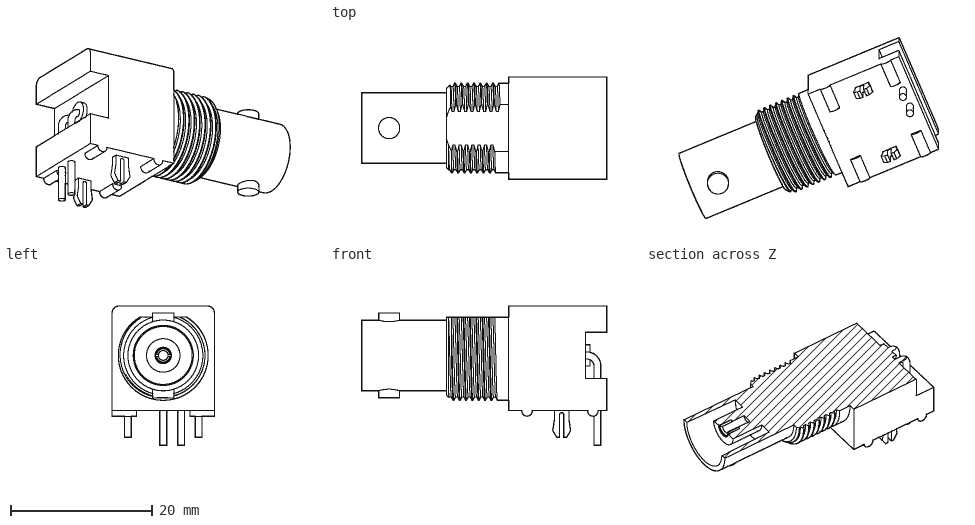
import cadquery as cq


body_front = 20.8
body_back = 34.7
body_width = 14.5
body_top = 7.0
body_bottom = -7.8
body_corner_radius = 1.0
slot_face = 31.67
slot_half_height = 3.25

barrel_radius = 5.0
barrel_end = 12.0
lug_center = 3.9
lug_radius = 1.5
lug_reach = 6.0

thread_radius = 6.35
thread_pitch = 0.895
thread_depth = 0.45
groove_root_width = thread_pitch / 3
groove_top_width = thread_pitch * 7 / 8
groove_overlap = 0.1
groove_start = 11.65
groove_turns = 8.5
neck_chamfer = 0.75
neck_flat_height = 5.4

bore_mouth_radius = 4.25
bore_floor_radius = 4.1
bore_depth = 8.3
insulator_radius = 2.37
insulator_front = 3.3
insulator_mouth_radius = 1.16
contact_radius = 1.08
contact_recess = 0.1
contact_lead_radius = 0.95
contact_hole_radius = 0.69
contact_lead_depth = contact_lead_radius - contact_hole_radius
contact_hole_depth = 4.0
contact_slit_width = 0.25
contact_slit_depth = 2.0

pin_radius = 0.5
pin_bend_radius = 1.5
pin_x = 33.35
pin_bottom = -12.7
pin_spacing = 2.54
pin_embed = 0.5
collar_radius = 1.53
collar_end = 32.3

foot_radius = 0.75
foot_drop = 0.8
foot_length = 3.5
foot_positions = (23.4, 32.7)

clip_x = 28.3
clip_y = 5.0
clip_thickness = 1.0
clip_half_width = 1.04
clip_barb_half_width = 1.24
clip_bulge_half_width = 1.27
clip_lower_half_width = 1.2
clip_tip_half_width = 0.7
clip_barb_start = -9.08
clip_barb_top = -10.34
clip_barb_bottom = -10.76
clip_tip = -11.6
clip_slit_half_width = 0.28
clip_slit_top = -8.1


def x_cylinder(radius, x_start, x_end):
    """Cylinder on the connector axis between two X positions."""
    return cq.Workplane("YZ").workplane(offset=x_start).circle(radius).extrude(x_end - x_start)


def x_cone(radius_start, radius_end, x_start, x_end):
    """Truncated cone on the connector axis between two X positions."""
    profile = [(x_start, 0), (x_start, radius_start), (x_end, radius_end), (x_end, 0)]
    return cq.Workplane("XY").polyline(profile).close().revolve(360, (0, 0, 0), (1, 0, 0))


def make_body():
    """Housing block with rounded top edges and a slot across its back face."""
    height = body_top - body_bottom
    length = body_back - body_front
    body = cq.Workplane("XY").box(length, body_width, height, centered=(False, True, False))
    body = body.translate((body_front, 0, body_bottom))
    body = body.edges("|X and >Z").fillet(body_corner_radius)
    slot = cq.Workplane("XY").box(
        body_back - slot_face, body_width, 2 * slot_half_height, centered=(False, True, True)
    )
    return body.cut(slot.translate((slot_face, 0, 0)))


def make_thread_groove():
    """Right-handed V groove with a flat root, winding in the +X direction."""
    flank_slope = (groove_top_width - groove_root_width) / 2 / thread_depth
    root_radius = thread_radius - thread_depth
    outer_radius = thread_radius + groove_overlap
    half_root = groove_root_width / 2
    half_outer = groove_top_width / 2 + groove_overlap * flank_slope
    path = cq.Wire.makeHelix(thread_pitch, groove_turns * thread_pitch, root_radius)
    groove = (
        cq.Workplane("XZ")
        .moveTo(root_radius, -half_root)
        .lineTo(outer_radius, -half_outer)
        .lineTo(outer_radius, half_outer)
        .lineTo(root_radius, half_root)
        .close()
        .sweep(cq.Workplane(obj=path), isFrenet=True)
    )
    return groove.rotate((0, 0, 0), (0, 1, 0), 90).translate((groove_start, 0, 0))


def make_neck():
    """Threaded neck with a front chamfer and a flat along its top."""
    neck = x_cylinder(thread_radius, barrel_end, body_front)
    neck = neck.faces("<X").chamfer(neck_chamfer)
    neck = neck.cut(make_thread_groove())
    above_flat = (
        cq.Workplane("XY")
        .workplane(offset=neck_flat_height)
        .rect(2 * body_back, body_width)
        .extrude(thread_radius)
    )
    return neck.cut(above_flat)


def make_barrel():
    """Barrel with two bayonet lugs."""
    barrel = x_cylinder(barrel_radius, 0, body_front)
    lugs = (
        cq.Workplane("XY")
        .center(lug_center, 0)
        .circle(lug_radius)
        .extrude(lug_reach, both=True)
    )
    return barrel.union(lugs)


def cut_cavity(part):
    """Open the tapered bore, leaving the insulator and its socket contact inside."""
    part = part.cut(x_cone(bore_mouth_radius, bore_floor_radius, 0, bore_depth))
    part = part.union(x_cylinder(insulator_radius, insulator_front, body_front))
    contact_front = insulator_front + contact_recess
    lead_end = contact_front + contact_lead_depth
    hole_end = contact_front + contact_hole_depth
    part = part.cut(x_cone(insulator_mouth_radius, contact_radius, insulator_front, contact_front))
    part = part.cut(x_cone(contact_lead_radius, contact_hole_radius, contact_front, lead_end))
    part = part.cut(x_cylinder(contact_hole_radius, lead_end, hole_end))
    slit = cq.Workplane("XY").box(
        contact_slit_depth, 2 * contact_radius, contact_slit_width, centered=(False, True, True)
    )
    return part.cut(slit.translate((contact_front, 0, 0)))


def make_pin(y):
    """Round pin leaving the slot face along X and bending down to the board."""
    path = (
        cq.Workplane("XZ", origin=(0, y, 0))
        .moveTo(slot_face - pin_embed, 0)
        .lineTo(pin_x - pin_bend_radius, 0)
        .tangentArcPoint((pin_x, -pin_bend_radius), relative=False)
        .lineTo(pin_x, pin_bottom)
    )
    section = cq.Workplane("YZ", origin=(slot_face - pin_embed, y, 0)).circle(pin_radius)
    return section.sweep(path)


def make_foot(x, side):
    """Half-round standoff rib, flush with one side of the housing."""
    straight_end = body_bottom - (foot_drop - foot_radius)
    foot = (
        cq.Workplane("XZ")
        .moveTo(x - foot_radius, body_bottom)
        .lineTo(x - foot_radius, straight_end)
        .threePointArc((x, body_bottom - foot_drop), (x + foot_radius, straight_end))
        .lineTo(x + foot_radius, body_bottom)
        .close()
        .extrude(foot_length / 2, both=True)
    )
    return foot.translate((0, side * (body_width - foot_length) / 2, 0))


def make_clip(side):
    """Barbed retention clip, split by a round-topped slit."""
    barb_middle = (clip_barb_top + clip_barb_bottom) / 2
    clip = (
        cq.Workplane("XZ")
        .moveTo(-clip_half_width, body_bottom)
        .lineTo(-clip_half_width, clip_barb_start)
        .lineTo(-clip_barb_half_width, clip_barb_top)
        .threePointArc((-clip_bulge_half_width, barb_middle), (-clip_lower_half_width, clip_barb_bottom))
        .lineTo(-clip_tip_half_width, clip_tip)
        .lineTo(clip_tip_half_width, clip_tip)
        .lineTo(clip_lower_half_width, clip_barb_bottom)
        .threePointArc((clip_bulge_half_width, barb_middle), (clip_barb_half_width, clip_barb_top))
        .lineTo(clip_half_width, clip_barb_start)
        .lineTo(clip_half_width, body_bottom)
        .close()
        .extrude(clip_thickness / 2, both=True)
    )
    slit_arc_start = clip_slit_top - clip_slit_half_width
    slit = (
        cq.Workplane("XZ")
        .moveTo(-clip_slit_half_width, clip_tip)
        .lineTo(-clip_slit_half_width, slit_arc_start)
        .threePointArc((0, clip_slit_top), (clip_slit_half_width, slit_arc_start))
        .lineTo(clip_slit_half_width, clip_tip)
        .close()
        .extrude(clip_thickness, both=True)
    )
    return clip.cut(slit).translate((clip_x, side * clip_y, 0))


result = make_body().union(make_neck()).union(make_barrel())
result = cut_cavity(result)
result = result.union(x_cylinder(collar_radius, slot_face - pin_embed, collar_end))
for pin_y in (0, -pin_spacing):
    result = result.union(make_pin(pin_y))
for side in (-1, 1):
    result = result.union(make_clip(side))
    for foot_x in foot_positions:
        result = result.union(make_foot(foot_x, side))